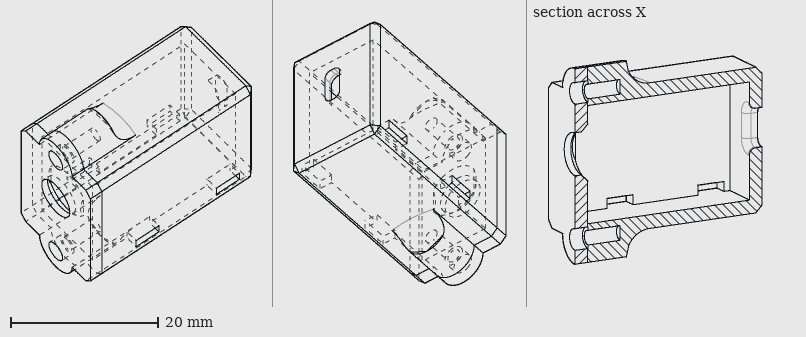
import cadquery as cq

LENGTH = 29.0
WIDTH = 14.9
OVERALL_HEIGHT = 27.6
CHAMFER = 1.0

COVER_THICKNESS = 2.0
WALL = 2.0

LUG_RADIUS = 3.5
LUG_LENGTH = 8.0
LUG_BLEND_RADIUS = 3.5
BLEND_SWEEP_RADIUS = 16.82

SCREW_CLEARANCE_DIAMETER = 3.0
SCREW_PILOT_DIAMETER = 2.0
SCREW_PILOT_DEPTH = 5.0

PORT_HEIGHT = 1.7
COVER_OPENING_DIAMETER = 6.0
COVER_OPENING_BEVEL = 1.0
COVER_BEVEL_WIDTH = 7.0

BACK_OPENING_WIDTH = 2.5
BACK_OPENING_HEIGHT = 5.5
BACK_OPENING_CORNER = 1.0
BACK_OPENING_FLARE = 0.95

SLOT_LENGTH = 4.0
SLOT_HEIGHT = 1.4
SLOT_STARTS = (8.0, 22.07)

LUG_OFFSET = OVERALL_HEIGHT / 2 - LUG_RADIUS
HEIGHT = 2 * LUG_OFFSET
CAVITY_WIDTH = WIDTH - 2 * WALL
CAVITY_HEIGHT = HEIGHT - 2 * WALL
CAVITY_END = LENGTH - WALL
PILOT_END = COVER_THICKNESS + SCREW_PILOT_DEPTH


def plane_at(y):
    """Sketch plane at depth y whose extrusions run toward +Y (its x is +X, its y is -Z)."""
    return cq.Workplane(cq.Plane(origin=(0, y, 0), xDir=(1, 0, 0), normal=(0, 1, 0)))


def block(width, height, y_start, y_end):
    """Box centred on the Y axis."""
    return plane_at(y_start).rect(width, height).extrude(y_end - y_start)


def rods(diameter, y_start, y_end):
    """Two round rods along Y, one on each lug axis."""
    centres = [(0, LUG_OFFSET), (0, -LUG_OFFSET)]
    return plane_at(y_start).pushPoints(centres).circle(diameter / 2).extrude(y_end - y_start)


def make_cover():
    """Front plate with two screw ears and a round opening bevelled on its inner side."""
    cover = block(WIDTH, HEIGHT, 0, COVER_THICKNESS).edges("|Y").chamfer(CHAMFER)
    cover = cover.union(rods(2 * LUG_RADIUS, 0, COVER_THICKNESS))
    cover = cover.cut(rods(SCREW_CLEARANCE_DIAMETER, 0, COVER_THICKNESS))

    opening_radius = COVER_OPENING_DIAMETER / 2
    opening = plane_at(0).center(0, -PORT_HEIGHT).circle(opening_radius).extrude(COVER_THICKNESS)
    bevel = (
        plane_at(COVER_THICKNESS)
        .center(0, -PORT_HEIGHT)
        .circle(opening_radius + COVER_OPENING_BEVEL)
        .workplane(offset=-COVER_OPENING_BEVEL)
        .circle(opening_radius)
        .loft()
    )
    bevel = bevel.intersect(block(COVER_BEVEL_WIDTH, HEIGHT, 0, COVER_THICKNESS))
    return cover.cut(opening).cut(bevel)


def make_back_opening():
    """Rounded rectangle through the back wall, flaring with a convex radius into the cavity."""
    flare = BACK_OPENING_FLARE
    wall = block(CAVITY_WIDTH, CAVITY_HEIGHT, CAVITY_END, LENGTH)
    opening = block(BACK_OPENING_WIDTH, BACK_OPENING_HEIGHT, CAVITY_END, LENGTH)
    opening = opening.edges("|Y").fillet(BACK_OPENING_CORNER).translate((0, 0, PORT_HEIGHT))
    pierced_wall = wall.cut(opening)
    rim = cq.selectors.BoxSelector(
        (-BACK_OPENING_WIDTH, CAVITY_END - flare / 2, PORT_HEIGHT - BACK_OPENING_HEIGHT),
        (BACK_OPENING_WIDTH, CAVITY_END + flare / 2, PORT_HEIGHT + BACK_OPENING_HEIGHT),
    )
    return wall.cut(pierced_wall.edges(rim).fillet(flare))


def make_lug_blend(side):
    """Lug tail whose end is hollowed by a ring, sinking it to the housing wall (side is +1 or -1)."""
    tail_end = LUG_LENGTH + LUG_BLEND_RADIUS
    tail = plane_at(LUG_LENGTH).center(0, -side * LUG_OFFSET).circle(LUG_RADIUS).extrude(LUG_BLEND_RADIUS)
    ring_centre = cq.Vector(0, tail_end - BLEND_SWEEP_RADIUS, side * (HEIGHT / 2 + LUG_BLEND_RADIUS))
    ring = cq.Solid.makeTorus(BLEND_SWEEP_RADIUS, LUG_BLEND_RADIUS, ring_centre, cq.Vector(0, 0, 1))
    tail = tail.cut(cq.Workplane(ring))

    touch_disc = cq.Workplane().center(ring_centre.x, ring_centre.y).circle(BLEND_SWEEP_RADIUS)
    return tail.intersect(touch_disc.extrude(side * OVERALL_HEIGHT))


def make_slots():
    """Slots straight through both side walls, with their floor level with the cavity floor."""
    slots = cq.Workplane()
    for start in SLOT_STARTS:
        slot = block(WIDTH, SLOT_HEIGHT, start, start + SLOT_LENGTH)
        slots = slots.add(slot.translate((0, 0, (SLOT_HEIGHT - CAVITY_HEIGHT) / 2)))
    return slots.combine()


def make_housing():
    """Hollow box, open toward the cover, with two screw lugs, side slots and a back opening."""
    housing = block(WIDTH, HEIGHT, COVER_THICKNESS, LENGTH)
    housing = housing.edges("|Y or >Y").chamfer(CHAMFER)
    housing = housing.union(rods(2 * LUG_RADIUS, COVER_THICKNESS, LUG_LENGTH))
    for side in (1, -1):
        housing = housing.union(make_lug_blend(side))

    housing = housing.cut(block(CAVITY_WIDTH, CAVITY_HEIGHT, COVER_THICKNESS, CAVITY_END))
    housing = housing.cut(rods(SCREW_PILOT_DIAMETER, COVER_THICKNESS, PILOT_END))
    housing = housing.cut(make_slots())
    return housing.cut(make_back_opening())


cover = make_cover()
housing = make_housing()
result = cq.Compound.makeCompound([cover.solids().val(), housing.solids().val()])